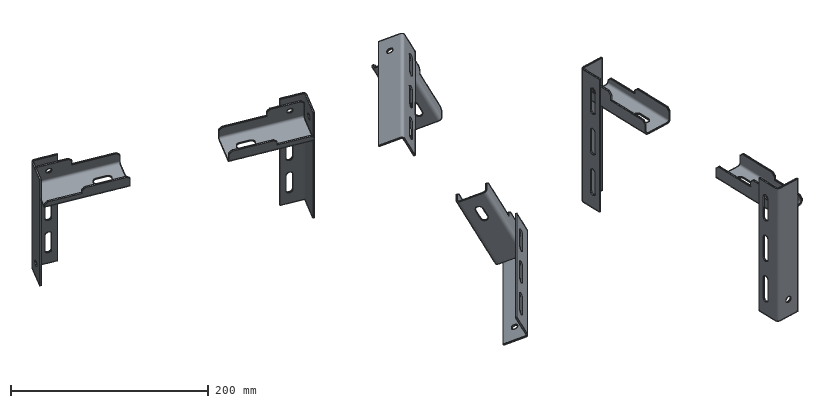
import cadquery as cq

SPAN_X = 36.5
SPAN_Y = 293.0
SHEET = 1.7

UPRIGHT_HEIGHT = 164.0
SIDE_LEG_WIDTH = 27.8
END_LEG_WIDTH = 28.0
UPRIGHT_OUTER_RADIUS = 3.5
UPRIGHT_INNER_RADIUS = 1.0
SLOT_WIDTH = 7.0
SLOT_LENGTH = 32.0
SLOT_PITCH = 50.0
SLOT_COUNT = 3
SLOT_FROM_END = 18.0
END_HOLE_DIAMETER = 7.0
END_HOLE_FROM_SIDE = 15.2
END_HOLE_FROM_BOTTOM = 20.8

BRACKET_LENGTH = 91.0
BRACKET_END_GAP = 2.5
BRACKET_BOTTOM = 45.7
BRACKET_BEND_RADIUS = 4.5
STEP_FROM_END = 39.8
TAB_HEIGHT = 27.0
WALL_HEIGHT = 17.3
LOW_WALL_HEIGHT = 9.7
WALL_CHAMFER = 3.5
FLOOR_SLOT_WIDTH = 8.0
FLOOR_SLOT_LENGTH = 20.0
FLOOR_SLOT_FROM_INNER_END = 23.7
BOLT_HOLE_DIAMETER = 6.5

SIDE_X = -SPAN_X / 2
END_Y = -SPAN_Y / 2
SLOT_Y = END_Y + SLOT_FROM_END
BRACKET_LEFT = SIDE_X + SHEET
BRACKET_RIGHT = SPAN_X / 2
BRACKET_MIDDLE = (BRACKET_LEFT + BRACKET_RIGHT) / 2
BRACKET_OUTER_END = END_Y + BRACKET_END_GAP
BRACKET_INNER_END = BRACKET_OUTER_END + BRACKET_LENGTH
STEP_Y = BRACKET_OUTER_END + STEP_FROM_END
BOLT_HOLE_Z = SLOT_PITCH + (SLOT_LENGTH - SLOT_WIDTH) / 2


def make_upright():
    """The angle at the -Y end."""
    leg_size = (END_LEG_WIDTH, SIDE_LEG_WIDTH, UPRIGHT_HEIGHT)
    corner = (SIDE_X, END_Y, -UPRIGHT_HEIGHT / 2)
    inner_corner = (SIDE_X + SHEET, END_Y + SHEET, -UPRIGHT_HEIGHT / 2)
    outside = cq.Workplane().box(*leg_size, centered=False).translate(corner)
    outside = outside.edges("|Z and <X and <Y").fillet(UPRIGHT_OUTER_RADIUS)
    inside = cq.Workplane().box(*leg_size, centered=False).translate(inner_corner)
    inside = inside.edges("|Z and <X and <Y").fillet(UPRIGHT_INNER_RADIUS)
    angle = outside.cut(inside)

    slots = (
        cq.Workplane("YZ", origin=(SIDE_X, SLOT_Y, 0))
        .rarray(3, SLOT_PITCH, 1, SLOT_COUNT)
        .slot2D(SLOT_LENGTH, SLOT_WIDTH, 90)
        .extrude(SHEET)
    )
    hole_x = SIDE_X + END_HOLE_FROM_SIDE
    hole_z = -UPRIGHT_HEIGHT / 2 + END_HOLE_FROM_BOTTOM
    end_hole = (
        cq.Workplane("XZ", origin=(hole_x, END_Y, hole_z))
        .circle(END_HOLE_DIAMETER / 2)
        .extrude(-SHEET)
    )
    return angle.cut(slots).cut(end_hole)


def wall_blank(outer_height, inner_height, left_x, right_x):
    """A slab whose chamfered outline steps between two heights at STEP_Y."""
    outer_top = BRACKET_BOTTOM + outer_height
    inner_top = BRACKET_BOTTOM + inner_height
    if outer_height > inner_height:
        step = [
            (STEP_Y - WALL_CHAMFER, outer_top),
            (STEP_Y, outer_top - WALL_CHAMFER),
            (STEP_Y, inner_top),
        ]
    else:
        step = [
            (STEP_Y, outer_top),
            (STEP_Y, inner_top - WALL_CHAMFER),
            (STEP_Y + WALL_CHAMFER, inner_top),
        ]
    outline = [
        (BRACKET_OUTER_END, BRACKET_BOTTOM),
        (BRACKET_OUTER_END, outer_top - WALL_CHAMFER),
        (BRACKET_OUTER_END + WALL_CHAMFER, outer_top),
        *step,
        (BRACKET_INNER_END - WALL_CHAMFER, inner_top),
        (BRACKET_INNER_END, inner_top - WALL_CHAMFER),
        (BRACKET_INNER_END, BRACKET_BOTTOM),
    ]
    return cq.Workplane("YZ", origin=(left_x, 0, 0)).polyline(outline).close().extrude(right_x - left_x)


def make_bracket():
    """The channel at the -Y end: a tall tab on its -X wall and a lowered outer part on its +X wall."""
    width = BRACKET_RIGHT - BRACKET_LEFT
    middle = (BRACKET_MIDDLE, (BRACKET_OUTER_END + BRACKET_INNER_END) / 2, BRACKET_BOTTOM)
    on_floor = (True, True, False)
    outside = cq.Workplane().box(width, BRACKET_LENGTH, TAB_HEIGHT, centered=on_floor)
    outside = outside.edges("|Y and <Z").fillet(BRACKET_BEND_RADIUS)
    inside = cq.Workplane().box(width - 2 * SHEET, BRACKET_LENGTH, TAB_HEIGHT, centered=on_floor)
    inside = inside.edges("|Y and <Z").fillet(BRACKET_BEND_RADIUS - SHEET).translate((0, 0, SHEET))
    channel = outside.cut(inside).translate(middle)

    left_half = wall_blank(TAB_HEIGHT, WALL_HEIGHT, BRACKET_LEFT, BRACKET_MIDDLE)
    right_half = wall_blank(LOW_WALL_HEIGHT, WALL_HEIGHT, BRACKET_MIDDLE, BRACKET_RIGHT)
    bracket = channel.intersect(left_half.union(right_half))

    floor_slot_y = BRACKET_INNER_END - FLOOR_SLOT_FROM_INNER_END
    floor_slot = (
        cq.Workplane("XY", origin=(BRACKET_MIDDLE, floor_slot_y, BRACKET_BOTTOM))
        .slot2D(FLOOR_SLOT_LENGTH, FLOOR_SLOT_WIDTH, 90)
        .extrude(SHEET)
    )
    bolt_hole = (
        cq.Workplane("YZ", origin=(BRACKET_LEFT, SLOT_Y, BOLT_HOLE_Z))
        .circle(BOLT_HOLE_DIAMETER / 2)
        .extrude(SHEET)
    )
    return bracket.cut(floor_slot).cut(bolt_hole)


uprights = [make_upright().rotate((0, 0, 0), (1, 0, 0), turn) for turn in (0, 180)]

near_bracket = make_bracket()
brackets = [near_bracket, near_bracket.mirror("XZ")]

result = cq.Compound.makeCompound([body.val() for body in uprights + brackets])